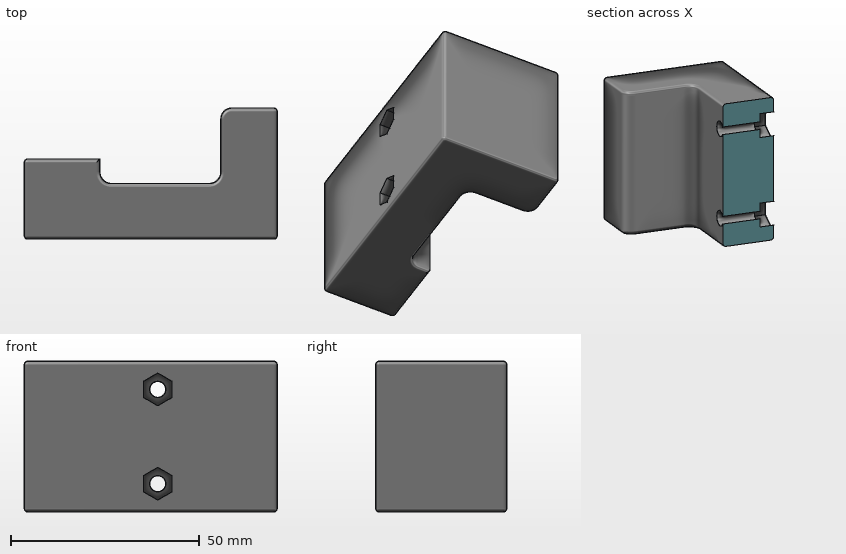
import cadquery as cq
import math

height = 40.0
overall_depth = 34.8

short_arm_width = 20.09
channel_width = 32.0
tall_arm_width = 15.0
overall_width = short_arm_width + channel_width + tall_arm_width
web_thickness = 14.8
short_arm_depth = 21.3
channel_end_x = short_arm_width + channel_width

channel_radius = 3.0
edge_radius = 1.0

bolt_x = 35.4
bolt_spacing = 25.0
bolt_diameter = 4.2
nut_across_flats = 7.5
nut_across_corners = nut_across_flats / math.cos(math.pi / 6)
nut_depth = 4.0


def vertical_edge_at(body, x, y):
    """Select the full-height edge standing at the given outline corner."""
    reach = edge_radius / 2
    box = cq.selectors.BoxSelector(
        (x - reach, y - reach, -reach),
        (x + reach, y + reach, height + reach),
        boundingbox=True,
    )
    return body.edges(box).edges("|Z")


def make_block():
    """Extrude the outline along Z and round its edges, leaving the short arm's channel corner sharp."""
    block = (
        cq.Workplane("XY")
        .polyline(
            [
                (0, 0),
                (overall_width, 0),
                (overall_width, overall_depth),
                (channel_end_x, overall_depth),
                (channel_end_x, web_thickness),
                (short_arm_width, web_thickness),
                (short_arm_width, short_arm_depth),
                (0, short_arm_depth),
            ]
        )
        .close()
        .extrude(height)
    )
    large_corners = [
        (channel_end_x, overall_depth),
        (channel_end_x, web_thickness),
        (short_arm_width, web_thickness),
    ]
    for x, y in large_corners:
        block = vertical_edge_at(block, x, y).fillet(channel_radius)

    outer_corners = (
        vertical_edge_at(block, 0, 0)
        .add(vertical_edge_at(block, overall_width, 0))
        .add(vertical_edge_at(block, overall_width, overall_depth))
        .add(vertical_edge_at(block, 0, short_arm_depth))
    )
    rims = block.faces("<Z or >Z").edges()
    return block.newObject(outer_corners.vals() + rims.vals()).fillet(edge_radius)


def bolt_layout():
    """Bolt centres in the Y = 0 plane, with its normal along +Y."""
    plane = cq.Plane(origin=(bolt_x, 0, height / 2), xDir=(0, 0, 1), normal=(0, 1, 0))
    return cq.Workplane(plane).rarray(bolt_spacing, 1, 2, 1)


def cut_bolt_holes(body):
    """Cut the bolt holes through Y and sink their nut pockets, points along Z."""
    holes = bolt_layout().circle(bolt_diameter / 2).extrude(overall_depth)
    nuts = bolt_layout().polygon(6, nut_across_corners).extrude(nut_depth)
    return body.cut(holes).cut(nuts)


result = cut_bolt_holes(make_block())